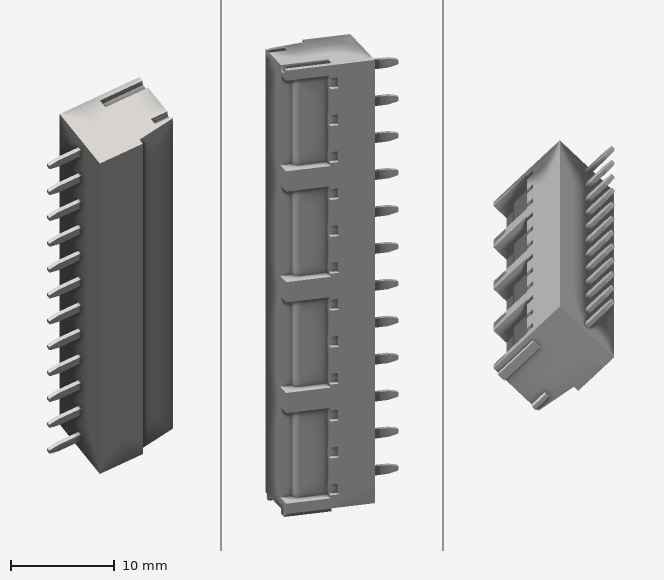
import cadquery as cq

pole_count = 12
body_width = 7.4
body_depth = 9.0
body_height = 45.7
pitch = body_height / pole_count

step_from_back = 4.15
step_width = 0.6
back_width = 6.15

poles_per_window = 3
rib_height = 2.1
window_length = 4.55
window_depth = 1.15
deep_window_depth = 1.75
deep_window_length = 1.15
notch_length = 0.85
notch_height = 1.1
notch_depth = 0.55

key_height = 0.55
flat_key_center = 1.05
flat_key_width = 1.0
flat_key_neck_width = 0.9
flat_key_length = 4.8
bead_center = 5.5
bead_width = 0.75
bead_neck_width = 0.4
bead_length = 1.85

pin_length = 3.55
pin_thickness = 0.4
pin_width = 0.93
pin_tip_length = 1.0
pin_taper_end_width = 0.55
pin_end_width = 0.4
pin_end_chamfer_length = 0.15

back = body_depth
window_pitch = pitch * poles_per_window
window_count = pole_count // poles_per_window


def make_body():
    """Upright block with a step and a slope along its +X side."""
    plan = (
        cq.Workplane("XY")
        .lineTo(body_width, 0)
        .lineTo(body_width, back - step_from_back)
        .lineTo(body_width - step_width, back - step_from_back)
        .lineTo(back_width, back)
        .lineTo(0, back)
        .close()
    )
    return plan.extrude(body_height)


def make_window(z_center):
    """Open-backed window whose floor drops over a rounded shoulder toward the back."""
    height = window_pitch - rib_height
    shoulder = deep_window_depth - window_depth
    plan = (
        cq.Workplane("XY")
        .moveTo(0, back - window_length)
        .lineTo(window_depth, back - window_length)
        .lineTo(window_depth, back - deep_window_length - shoulder)
        .radiusArc((deep_window_depth, back - deep_window_length), shoulder)
        .lineTo(deep_window_depth, back)
        .lineTo(0, back)
        .close()
    )
    return plan.extrude(height).translate((0, 0, z_center - height / 2))


def make_notch(z_center):
    """Shallow notch in the -X face, open to the front of a window."""
    notch = cq.Workplane("XY").box(
        notch_depth, notch_length, notch_height, centered=(False, False, True)
    )
    return notch.translate((0, back - window_length - notch_length, z_center))


def make_key(center, width, neck_width, length):
    """Hexagonal key under the lower end, widest halfway down."""
    half = width / 2
    neck_half = neck_width / 2
    profile = (
        cq.Workplane("XZ", origin=(center, back, 0))
        .moveTo(-neck_half, 0)
        .lineTo(-half, -key_height / 2)
        .lineTo(-neck_half, -key_height)
        .lineTo(neck_half, -key_height)
        .lineTo(half, -key_height / 2)
        .lineTo(neck_half, 0)
        .close()
    )
    return profile.extrude(length)


def make_groove(center, width, floor_width, length):
    """Groove in the upper end: full width to half depth, then narrowing to its floor."""
    half = width / 2
    floor_half = floor_width / 2
    profile = (
        cq.Workplane("XZ", origin=(center, back, body_height))
        .moveTo(-half, 0)
        .lineTo(-half, -key_height / 2)
        .lineTo(-floor_half, -key_height)
        .lineTo(floor_half, -key_height)
        .lineTo(half, -key_height / 2)
        .lineTo(half, 0)
        .close()
    )
    return profile.extrude(length)


def make_pin(z_center):
    """Flat pin with a long taper and a short end chamfer."""
    half = pin_width / 2
    taper_end_half = pin_taper_end_width / 2
    end_half = pin_end_width / 2
    taper_start = pin_tip_length - pin_length
    taper_end = pin_end_chamfer_length - pin_length
    profile = (
        cq.Workplane("YZ", origin=((body_width - pin_thickness) / 2, 0, z_center))
        .moveTo(0, half)
        .lineTo(taper_start, half)
        .lineTo(taper_end, taper_end_half)
        .lineTo(-pin_length, end_half)
        .lineTo(-pin_length, -end_half)
        .lineTo(taper_end, -taper_end_half)
        .lineTo(taper_start, -half)
        .lineTo(0, -half)
        .close()
    )
    return profile.extrude(pin_thickness)


flat_key = (flat_key_center, flat_key_width, flat_key_neck_width, flat_key_length)
bead_key = (bead_center, bead_width, bead_neck_width, bead_length)

result = make_body()
for key_sizes in (flat_key, bead_key):
    result = result.cut(make_groove(*key_sizes))
    result = result.union(make_key(*key_sizes))

for window in range(window_count):
    result = result.cut(make_window((window + 0.5) * window_pitch))

for pole in range(pole_count):
    z_pole = (pole + 0.5) * pitch
    result = result.cut(make_notch(z_pole))
    result = result.union(make_pin(z_pole))